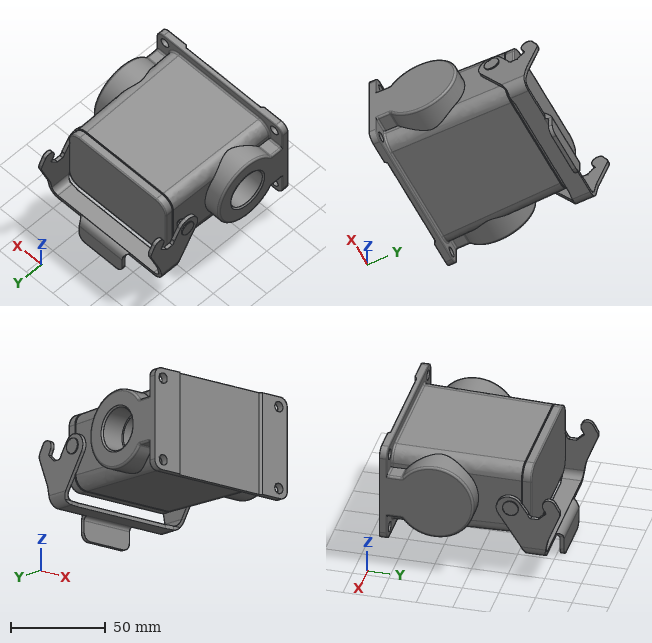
import cadquery as cq
import math

PART_LENGTH = 97.32
PART_HEIGHT = 70.48

FLANGE_WIDTH = 94.0
FLANGE_HEIGHT = 56.0
FLANGE_THICKNESS = 4.2
FLANGE_CORNER_RADIUS = 5.0
FLANGE_EDGE_ROUND = 0.4
SCREW_HOLE_DIAMETER = 5.6
SCREW_HOLE_X = 41.0
SCREW_HOLE_Z = 22.5
RELIEF_WIDTH = 58.4
RELIEF_DEPTH = 1.3

HOUSING_END_Y = 80.5
HOUSING_END_WIDTH = 72.6
HOUSING_END_HEIGHT = 43.0
HOUSING_CORNER_RADIUS = 7.6
DRAFT_ANGLE = 1.0
BASE_FILLET = 1.0
LIP_LENGTH = 5.6
LIP_EDGE_ROUND = 0.7
GROOVE_WIDTH = 0.6
GROOVE_DEPTH = 0.3

PORT_Y = 30.0
BOSS_RADIUS = 21.6
NECK_WIDTH = 25.0
FOOT_WIDTH = 36.0
BOSS_EDGE_ROUND = 1.2
BORE_RADIUS = 11.8
BORE_CHAMFER = 0.9
INNER_BORE_RADIUS = 10.7
BORE_DEPTH = 14.0
INNER_BORE_DEPTH = 20.0

LEVER_WIDTH = 84.4
LEVER_THICKNESS = 2.2
LEVER_BOTTOM_Z = -29.5
LEVER_BEND_RADIUS = 6.2
LEVER_ARM_ANGLE = 34.0
LEVER_FRONT_Y = 78.3
LEVER_BACK_Y = 89.0
LEVER_SETBACK = 0.7
LEVER_SETBACK_RUN = 5.0
PIVOT_Y = 70.5
EYE_Y = 69.7
EYE_Z = -0.5
EYE_RADIUS = 7.1
HOOK_Y = 91.4
HOOK_Z = 3.8
HOOK_RADIUS = 3.6
NOTCH_START_Y = 81.5
NOTCH_END_Y = 85.5
NOTCH_FLOOR_Z = -5.0
NOTCH_CORNER_RUN = 1.5
NOTCH_CORNER_HEIGHT = 2.0
NOTCH_CORNER_RADIUS = 2.5
FOOT_FRONT_Y = 76.2
FOOT_BACK_Y = 89.6
HOOK_THROAT = (89.8, -0.9)
HEEL_TOP = (97.0, 1.2)
HEEL_BOTTOM = (97.0, -2.0)
WAIST = (90.8, -17.5)
TONGUE_WIDTH = 32.2
TONGUE_FLARE_RADIUS = 3.0
TONGUE_END_Z = FLANGE_HEIGHT / 2 - PART_HEIGHT
TONGUE_BEND_Y = 88.6
TONGUE_BEND_RADIUS = 4.4
TONGUE_CORNER_RADIUS = 4.5
TONGUE_OVERLAP = 1.0

PIN_HEAD_RADIUS = 4.3
PIN_HEAD_THICKNESS = 0.7
PIN_COLLAR_RADIUS = 2.6
PIN_COLLAR_LENGTH = 2.8
PIN_SHAFT_RADIUS = 1.6
PIN_ANCHOR_DEPTH = 2.0


def block(width, height, radius, y_start, y_end):
    """Straight rounded-rectangle block running along +Y."""
    plane = cq.Workplane("XZ", origin=(0, y_start, 0))
    return plane.rect(width, height).extrude(y_start - y_end).edges("|Y").fillet(radius)


def rounded_section(width, height, radius):
    """Rounded-rectangle sketch."""
    return cq.Sketch().rect(width, height).vertices().fillet(radius)


def cylinder_x(radius, x_start, x_end, y):
    """Cylinder along X between two X positions, on the Z = 0 plane."""
    return cq.Workplane("YZ", origin=(x_start, y, 0)).circle(radius).extrude(x_end - x_start)


def make_flange():
    """Rounded mounting plate with a softened inner edge."""
    flange = block(FLANGE_WIDTH, FLANGE_HEIGHT, FLANGE_CORNER_RADIUS, 0, FLANGE_THICKNESS)
    return flange.faces(">Y").edges().fillet(FLANGE_EDGE_ROUND)


def make_housing():
    """Drafted body, a narrow groove and a straight lip at the mating end."""
    groove_y = HOUSING_END_Y - LIP_LENGTH
    taper_start_y = FLANGE_THICKNESS / 2
    growth = 2 * (groove_y - taper_start_y) * math.tan(math.radians(DRAFT_ANGLE))
    base = rounded_section(HOUSING_END_WIDTH + growth, HOUSING_END_HEIGHT + growth, HOUSING_CORNER_RADIUS)
    end = rounded_section(HOUSING_END_WIDTH, HOUSING_END_HEIGHT, HOUSING_CORNER_RADIUS)
    body = (
        cq.Workplane("XZ", origin=(0, taper_start_y, 0))
        .placeSketch(base, end.moved(cq.Location(cq.Vector(0, 0, taper_start_y - groove_y))))
        .loft(ruled=True)
    )
    groove = block(
        HOUSING_END_WIDTH - 2 * GROOVE_DEPTH,
        HOUSING_END_HEIGHT - 2 * GROOVE_DEPTH,
        HOUSING_CORNER_RADIUS - GROOVE_DEPTH,
        groove_y,
        groove_y + GROOVE_WIDTH,
    )
    lip = block(
        HOUSING_END_WIDTH, HOUSING_END_HEIGHT, HOUSING_CORNER_RADIUS, groove_y + GROOVE_WIDTH, HOUSING_END_Y
    )
    lip = lip.faces(">Y").edges().fillet(LIP_EDGE_ROUND)
    return body.union(groove).union(lip)


def make_boss(side):
    """Round port boss with a neck reaching down to the flange; side is -1 or +1."""
    root_x = HOUSING_END_WIDTH / 2 - HOUSING_CORNER_RADIUS
    length = FLANGE_WIDTH / 2 - root_x
    boss = cylinder_x(BOSS_RADIUS, root_x, root_x + length, PORT_Y)
    neck = cq.Workplane("XY").box(length, PORT_Y, NECK_WIDTH, centered=(False, False, True))
    neck = neck.translate((root_x, 0, 0))
    foot = cq.Workplane("XY").box(length, FLANGE_THICKNESS, FOOT_WIDTH, centered=(False, False, True))
    foot = foot.translate((root_x, 0, 0))
    boss = boss.union(neck).union(foot)
    half_zone = NECK_WIDTH / 2 + BASE_FILLET
    corner_zone = cq.selectors.BoxSelector(
        (0, FLANGE_THICKNESS / 2, -half_zone),
        (FLANGE_WIDTH, PORT_Y, half_zone),
    )
    boss = boss.edges("|X").edges(corner_zone).fillet(BASE_FILLET)
    boss = boss.faces(">X").edges("not <Y").edges("not |Z").fillet(BOSS_EDGE_ROUND)
    return boss if side > 0 else boss.mirror("YZ")


def make_port_bore():
    """Stepped blind bore with a chamfered mouth in the -X port."""
    outer_x = -FLANGE_WIDTH / 2
    bore = cylinder_x(BORE_RADIUS, outer_x, outer_x + BORE_DEPTH, PORT_Y)
    inner = cylinder_x(INNER_BORE_RADIUS, outer_x, outer_x + INNER_BORE_DEPTH, PORT_Y)
    mouth = cq.Solid.makeCone(
        BORE_RADIUS + BORE_CHAMFER,
        BORE_RADIUS,
        BORE_CHAMFER,
        pnt=cq.Vector(outer_x, PORT_Y, 0),
        dir=cq.Vector(1, 0, 0),
    )
    return bore.union(inner).union(cq.Workplane(obj=mouth))


def make_screw_holes():
    """Four through holes at the flange corners."""
    plane = cq.Workplane("XZ").rect(2 * SCREW_HOLE_X, 2 * SCREW_HOLE_Z, forConstruction=True)
    return plane.vertices().circle(SCREW_HOLE_DIAMETER / 2).extrude(-FLANGE_THICKNESS)


def make_relief():
    """Shallow bevelled channel across the back of the flange."""
    half = RELIEF_WIDTH / 2
    floor_half = half - RELIEF_DEPTH
    points = [(-half, 0), (half, 0), (floor_half, RELIEF_DEPTH), (-floor_half, RELIEF_DEPTH)]
    return cq.Workplane("XY").polyline(points).close().extrude(FLANGE_HEIGHT / 2, both=True)


def make_lever_profile():
    """Side outline of the lever in the YZ plane: hook, notch, pivot eye and tapering foot."""
    slope = math.radians(LEVER_ARM_ANGLE)
    bend_top_z = LEVER_BOTTOM_Z + LEVER_BEND_RADIUS
    across = (math.cos(slope), math.sin(slope))

    def on_circle(centre, radius, direction):
        """Tangent point on a rounded arm end, at either side (-1 or +1) of the arm."""
        return (
            centre[0] + direction * radius * across[0],
            centre[1] + direction * radius * across[1],
        )

    eye = (EYE_Y, EYE_Z)
    hook = (HOOK_Y, HOOK_Z)
    notch_corner_z = NOTCH_FLOOR_Z + NOTCH_CORNER_HEIGHT
    return (
        cq.Workplane("YZ")
        .moveTo(LEVER_FRONT_Y, LEVER_BOTTOM_Z)
        .lineTo(LEVER_FRONT_Y, LEVER_BOTTOM_Z + LEVER_THICKNESS)
        .lineTo(FOOT_FRONT_Y, bend_top_z)
        .lineTo(*on_circle(eye, EYE_RADIUS, -1))
        .threePointArc((EYE_Y, EYE_Z + EYE_RADIUS), on_circle(eye, EYE_RADIUS, 1))
        .lineTo(NOTCH_START_Y - NOTCH_CORNER_RUN, notch_corner_z)
        .radiusArc((NOTCH_START_Y, NOTCH_FLOOR_Z), -NOTCH_CORNER_RADIUS)
        .lineTo(NOTCH_END_Y, NOTCH_FLOOR_Z)
        .lineTo(*HOOK_THROAT)
        .lineTo(*on_circle(hook, HOOK_RADIUS, -1))
        .threePointArc((HOOK_Y, HOOK_Z + HOOK_RADIUS), on_circle(hook, HOOK_RADIUS, 1))
        .lineTo(*HEEL_TOP)
        .threePointArc((PART_LENGTH, 0), HEEL_BOTTOM)
        .lineTo(*WAIST)
        .threePointArc((FOOT_BACK_Y, bend_top_z), (LEVER_BACK_Y, LEVER_BOTTOM_Z))
        .close()
        .extrude(LEVER_WIDTH / 2, both=True)
    )


def make_lever():
    """Sheet-metal stirrup: two side plates joined by a bent base."""
    reach = PART_HEIGHT
    outer = cq.Workplane("XY", origin=(0, 0, LEVER_BOTTOM_Z))
    outer = outer.box(LEVER_WIDTH, 2 * PART_LENGTH, reach, centered=(True, True, False))
    outer = outer.edges("|Y and <Z").fillet(LEVER_BEND_RADIUS)
    inner = cq.Workplane("XY", origin=(0, 0, LEVER_BOTTOM_Z + LEVER_THICKNESS))
    inner_width = LEVER_WIDTH - 2 * LEVER_THICKNESS
    inner = inner.box(inner_width, 2 * PART_LENGTH, reach, centered=(True, True, False))
    inner = inner.edges("|Y and <Z").fillet(LEVER_BEND_RADIUS - LEVER_THICKNESS)
    return make_lever_profile().intersect(outer.cut(inner)).cut(make_lever_setback())


def make_lever_setback():
    """Shallow trapezoid trimmed from the front edge of the lever base."""
    outer_x = LEVER_WIDTH / 2 - LEVER_BEND_RADIUS
    inner_x = outer_x - LEVER_SETBACK_RUN
    back_y = LEVER_FRONT_Y + LEVER_SETBACK
    points = [(-outer_x, LEVER_FRONT_Y), (-inner_x, back_y), (inner_x, back_y), (outer_x, LEVER_FRONT_Y)]
    plan = cq.Workplane("XY", origin=(0, 0, LEVER_BOTTOM_Z))
    return plan.polyline(points).close().extrude(LEVER_THICKNESS)


def make_tongue():
    """Finger tongue bent down from the lever base, flared where it leaves the base."""
    top_z = LEVER_BOTTOM_Z + LEVER_THICKNESS
    centre_z = top_z - TONGUE_BEND_RADIUS
    outer_y = TONGUE_BEND_Y + TONGUE_BEND_RADIUS
    inner_radius = TONGUE_BEND_RADIUS - LEVER_THICKNESS
    diagonal = math.sqrt(0.5)
    root_y = TONGUE_BEND_Y - TONGUE_OVERLAP
    strip = (
        cq.Workplane("YZ")
        .moveTo(root_y, top_z)
        .lineTo(TONGUE_BEND_Y, top_z)
        .threePointArc(
            (TONGUE_BEND_Y + diagonal * TONGUE_BEND_RADIUS, centre_z + diagonal * TONGUE_BEND_RADIUS),
            (outer_y, centre_z),
        )
        .lineTo(outer_y, TONGUE_END_Z)
        .lineTo(outer_y - LEVER_THICKNESS, TONGUE_END_Z)
        .lineTo(outer_y - LEVER_THICKNESS, centre_z)
        .threePointArc(
            (TONGUE_BEND_Y + diagonal * inner_radius, centre_z + diagonal * inner_radius),
            (TONGUE_BEND_Y, LEVER_BOTTOM_Z),
        )
        .lineTo(root_y, LEVER_BOTTOM_Z)
        .close()
        .extrude(TONGUE_WIDTH, both=True)
    )
    outline = cq.Workplane("XZ").rect(TONGUE_WIDTH, -2 * TONGUE_END_Z).extrude(-PART_LENGTH)
    outline = outline.edges("|Y and <Z").fillet(TONGUE_CORNER_RADIUS)
    for side in (-1, 1):
        outline = outline.union(make_tongue_flare(side, top_z))
    return strip.intersect(outline)


def make_tongue_flare(side, top_z):
    """Concave corner filler between the lever base and one edge of the tongue."""
    edge_x = side * TONGUE_WIDTH / 2
    root_x = edge_x + side * TONGUE_FLARE_RADIUS
    flare_z = top_z - TONGUE_FLARE_RADIUS
    reach = TONGUE_FLARE_RADIUS * math.sqrt(0.5)
    return (
        cq.Workplane("XZ")
        .moveTo(0, top_z)
        .lineTo(root_x, top_z)
        .threePointArc((root_x - side * reach, flare_z + reach), (edge_x, flare_z))
        .lineTo(0, flare_z)
        .close()
        .extrude(-PART_LENGTH)
    )


def make_pin(side):
    """Pivot pin through one lever eye into the housing wall; side is -1 or +1."""
    plate_x = LEVER_WIDTH / 2
    collar_x = plate_x - LEVER_THICKNESS - PIN_COLLAR_LENGTH
    anchor_x = HOUSING_END_WIDTH / 2 - PIN_ANCHOR_DEPTH
    shaft = cylinder_x(PIN_SHAFT_RADIUS, anchor_x, plate_x, PIVOT_Y)
    collar = cylinder_x(PIN_COLLAR_RADIUS, collar_x, plate_x, PIVOT_Y)
    head = cylinder_x(PIN_HEAD_RADIUS, plate_x, plate_x + PIN_HEAD_THICKNESS, PIVOT_Y)
    pin = shaft.union(collar).union(head)
    return pin if side > 0 else pin.mirror("YZ")


def make_filleted_base():
    """Flange and housing joined by a fillet around the housing foot."""
    base = make_flange().union(make_housing())
    tolerance = 0.1
    foot_reach = HOUSING_END_HEIGHT / 2 + 2 * BASE_FILLET
    foot_zone = cq.selectors.BoxSelector(
        (-SCREW_HOLE_X, FLANGE_THICKNESS - tolerance, -foot_reach),
        (SCREW_HOLE_X, FLANGE_THICKNESS + tolerance, foot_reach),
    )
    return base.edges(foot_zone).fillet(BASE_FILLET)


result = make_filleted_base()
for side in (-1, 1):
    result = result.union(make_boss(side))
result = result.cut(make_port_bore())
result = result.cut(make_screw_holes()).cut(make_relief())
result = result.union(make_lever()).union(make_tongue())
for side in (-1, 1):
    result = result.union(make_pin(side))